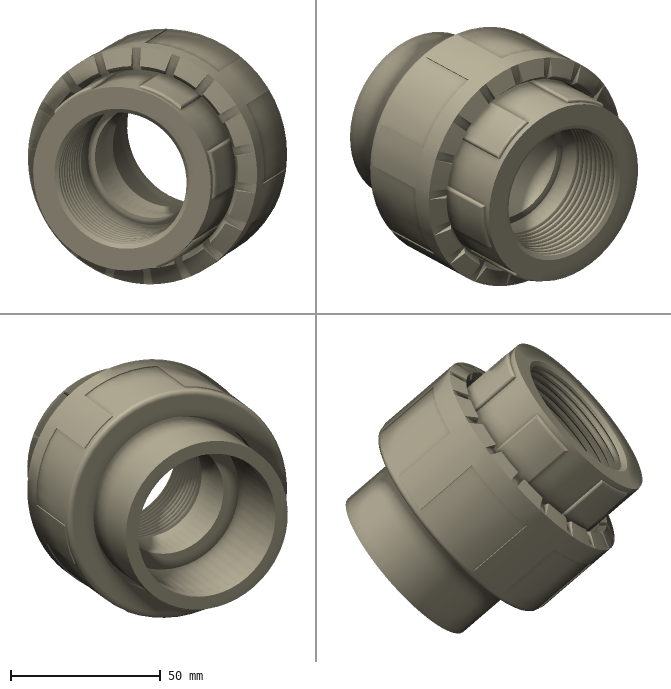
import cadquery as cq
import math


YAW = 4.15
PITCH = 3.2

LENGTH = 78.9
SEAM_Z = 49.6

SOCKET_DIA = 59.0
SOCKET_BORE_DIA = 50.0
SOCKET_DEPTH = 31.1
PASSAGE_DIA = 38.95
FLANGE_DIA = 65.7

NUT_BACK_Z = 23.7
NUT_DIA = 80.0
NUT_LIP = 4.2
NUT_LIP_DIA = 62.0
NUT_EDGE_RADIUS = 1.7
COLLAR_DIA = 80.8
COLLAR_BACK_Z = 50.3
COLLAR_FRONT_Z = 57.7

PAD_COUNT = 6
NUT_PAD_ANGLE = 44.0
NUT_PAD_SPAN = 20.5
NUT_PAD_BACK_Z = 26.75

TOOTH_COUNT = 18
TOOTH_HEIGHT = 2.0
TOOTH_RIDGE_DIA = 69.0
NOTCH_WIDTH = 3.1
NOTCH_ANGLE = 14.0

FEMALE_DIA = 62.7
FEMALE_BORE_DIA = 43.8
MOUTH_DIA = 47.8
MOUTH_DEPTH = 0.75
THREAD_MOUTH_DIA = 45.0
THREAD_PITCH = 2.31
THREAD_TURNS = 9
THREAD_DEPTH = 1.35
THREAD_GROOVE_WIDTH = 1.4

END_PAD_DIA = 64.85
END_PAD_ANGLE = 6.8
END_PAD_SPAN = 29.4
END_PAD_BACK_Z = 52.15
END_PAD_FRONT_Z = 76.9
END_PAD_ROUND = 1.0


def revolved(profile):
    """Solid of revolution about Z from (radius, z) points."""
    return cq.Workplane("XZ").polyline(profile).close().revolve(360, (0, 0), (0, 1))


def ring(outer_dia, inner_dia, back_z, front_z):
    circles = cq.Workplane("XY", origin=(0, 0, back_z)).circle(outer_dia / 2).circle(inner_dia / 2)
    return circles.extrude(front_z - back_z)


def wedge(span, reach, back_z, front_z):
    """Wedge with its tip on the Z axis, centred on the X axis, covering an angle of `span`."""
    half_width = reach * math.tan(math.radians(span / 2))
    base = cq.Workplane("XY", origin=(0, 0, back_z))
    return base.polyline([(0, 0), (reach, -half_width), (reach, half_width)]).close().extrude(front_z - back_z)


def turned(shape, angle):
    return shape.rotate((0, 0, 0), (0, 0, 1), angle)


def make_socket_end():
    socket = ring(SOCKET_DIA, PASSAGE_DIA, 0, SEAM_Z)
    flange = ring(FLANGE_DIA, PASSAGE_DIA, NUT_BACK_Z + NUT_LIP, SEAM_Z)
    bore = cq.Workplane("XY").circle(SOCKET_BORE_DIA / 2).extrude(SOCKET_DEPTH)
    return socket.union(flange).cut(bore)


def make_teeth():
    teeth = revolved(
        [
            (COLLAR_DIA / 2, COLLAR_FRONT_Z),
            (TOOTH_RIDGE_DIA / 2, COLLAR_FRONT_Z + TOOTH_HEIGHT),
            (FLANGE_DIA / 2, COLLAR_FRONT_Z),
        ]
    )
    notch = cq.Workplane("XY", origin=(0, 0, COLLAR_FRONT_Z)).box(
        COLLAR_DIA, NOTCH_WIDTH, TOOTH_HEIGHT, centered=(False, True, False)
    )
    for index in range(TOOTH_COUNT):
        teeth = teeth.cut(turned(notch, NOTCH_ANGLE + index * 360 / TOOTH_COUNT))
    return teeth


def make_nut():
    nut = cq.Workplane("XY", origin=(0, 0, NUT_BACK_Z)).circle(NUT_DIA / 2)
    nut = nut.extrude(COLLAR_FRONT_Z - NUT_BACK_Z).faces("<Z").edges().fillet(NUT_EDGE_RADIUS)
    nut = nut.union(ring(COLLAR_DIA, NUT_LIP_DIA, COLLAR_BACK_Z, COLLAR_FRONT_Z))
    pad_band = ring(COLLAR_DIA, NUT_LIP_DIA, NUT_PAD_BACK_Z, COLLAR_BACK_Z)
    pad = pad_band.intersect(wedge(NUT_PAD_SPAN, COLLAR_DIA, NUT_PAD_BACK_Z, COLLAR_BACK_Z))
    for index in range(PAD_COUNT):
        nut = nut.union(turned(pad, NUT_PAD_ANGLE + index * 360 / PAD_COUNT))
    flange_hole = cq.Workplane("XY", origin=(0, 0, NUT_BACK_Z + NUT_LIP)).circle(FLANGE_DIA / 2)
    nut = nut.cut(flange_hole.extrude(LENGTH))
    nut = nut.cut(cq.Workplane("XY").circle(NUT_LIP_DIA / 2).extrude(LENGTH))
    return nut.union(make_teeth())


def bore_profile():
    """Outline of the female bore: plain bore, tapered thread with V grooves, flared mouth."""
    thread_front_z = LENGTH - MOUTH_DEPTH
    thread_length = THREAD_TURNS * THREAD_PITCH
    thread_back_z = thread_front_z - thread_length
    back_radius = FEMALE_BORE_DIA / 2
    taper = (THREAD_MOUTH_DIA / 2 - back_radius) / thread_length
    points = [(0, SEAM_Z), (back_radius, SEAM_Z)]
    for turn in range(THREAD_TURNS):
        groove_back = turn * THREAD_PITCH
        groove_root = groove_back + THREAD_GROOVE_WIDTH / 2
        groove_front = groove_back + THREAD_GROOVE_WIDTH
        points.append((back_radius + groove_back * taper, thread_back_z + groove_back))
        points.append((back_radius + groove_root * taper + THREAD_DEPTH, thread_back_z + groove_root))
        points.append((back_radius + groove_front * taper, thread_back_z + groove_front))
    points.append((THREAD_MOUTH_DIA / 2, thread_front_z))
    points.append((MOUTH_DIA / 2, LENGTH))
    points.append((0, LENGTH))
    return points


def make_female_end():
    end = cq.Workplane("XY", origin=(0, 0, SEAM_Z)).circle(FEMALE_DIA / 2).extrude(LENGTH - SEAM_Z)
    pad_band = ring(END_PAD_DIA, FEMALE_BORE_DIA, END_PAD_BACK_Z, END_PAD_FRONT_Z)
    pad = pad_band.intersect(wedge(END_PAD_SPAN, END_PAD_DIA, END_PAD_BACK_Z, END_PAD_FRONT_Z))
    pad = pad.faces(">X").edges("not <Z").fillet(END_PAD_ROUND)
    for index in range(PAD_COUNT):
        end = end.union(turned(pad, END_PAD_ANGLE + index * 360 / PAD_COUNT))
    return end.cut(revolved(bore_profile()))


right_slope = math.tan(math.radians(YAW))
up_slope = math.tan(math.radians(PITCH))
placement = cq.Location(
    cq.Plane(origin=(0, 0, 0), xDir=(1, right_slope, 0), normal=(right_slope, -1, up_slope))
)

socket_end = make_socket_end().val().moved(placement)
nut = make_nut().val().moved(placement)
female_end = make_female_end().val().moved(placement)

result = cq.Compound.makeCompound([socket_end, nut, female_end])